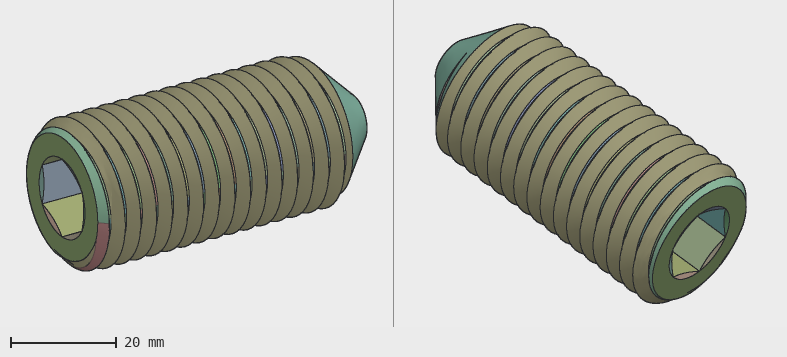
import cadquery as cq
import math

LENGTH = 65.0
MAJOR_RADIUS = 30.0 / 2

GAUGE_LENGTH = 45.5
GAUGE_TURNS = 13
PITCH = GAUGE_LENGTH / GAUGE_TURNS
FLANK_ANGLE = 30.0
ROOT_FLAT = PITCH / 8
RIDGE_HALF_WIDTH = (PITCH - ROOT_FLAT) / 2
CORE_RADIUS = MAJOR_RADIUS - RIDGE_HALF_WIDTH / math.tan(math.radians(FLANK_ANGLE))
FIRST_CREST = 1.2
RIDGE_OVERLAP = 0.2

END_FACE_RADIUS = 12.7
POINT_FACE_RADIUS = 5.0
CREST_CLEARANCE = 0.65

SOCKET_ACROSS_FLATS = 14.1
SOCKET_CORNER_DIAMETER = SOCKET_ACROSS_FLATS / math.cos(math.radians(30))
SOCKET_DEPTH = 14.95
COUNTERSINK_ANGLE = 140.0


def make_end_envelope():
    """Turned shape with both 45 degree ends, wide enough to clear the thread crests."""
    clear_radius = MAJOR_RADIUS + CREST_CLEARANCE
    return (
        cq.Workplane("XZ")
        .lineTo(END_FACE_RADIUS, 0)
        .lineTo(clear_radius, clear_radius - END_FACE_RADIUS)
        .lineTo(clear_radius, LENGTH - (clear_radius - POINT_FACE_RADIUS))
        .lineTo(POINT_FACE_RADIUS, LENGTH)
        .lineTo(0, LENGTH)
        .close()
        .revolve(360, (0, 0, 0), (0, 1, 0))
    )


def make_thread_ridge():
    """Helical ridge that runs past the chamfer and into the cone point."""
    start = FIRST_CREST - PITCH
    cone_start = LENGTH - (MAJOR_RADIUS - POINT_FACE_RADIUS)
    turns = math.ceil((cone_start - start) / PITCH) + 2
    helix = cq.Wire.makeHelix(PITCH, turns * PITCH, CORE_RADIUS, cq.Vector(0, 0, start))
    base_radius = CORE_RADIUS - RIDGE_OVERLAP
    base_half_width = (MAJOR_RADIUS - base_radius) * math.tan(math.radians(FLANK_ANGLE))
    profile = (
        cq.Workplane("XZ")
        .moveTo(base_radius, start - base_half_width)
        .lineTo(MAJOR_RADIUS, start)
        .lineTo(base_radius, start + base_half_width)
        .close()
    )
    return profile.sweep(cq.Workplane(helix), isFrenet=True)


def make_socket():
    """Hexagonal socket with corners on local Y and a countersunk mouth."""
    hexagon = (
        cq.Workplane("XY")
        .polygon(6, SOCKET_CORNER_DIAMETER)
        .extrude(SOCKET_DEPTH)
        .rotate((0, 0, 0), (0, 0, 1), 90)
    )
    mouth_radius = SOCKET_CORNER_DIAMETER / 2
    cone_depth = mouth_radius / math.tan(math.radians(COUNTERSINK_ANGLE / 2))
    countersink = cq.Workplane(cq.Solid.makeCone(mouth_radius, 0, cone_depth))
    return hexagon.union(countersink)


core = cq.Workplane("XY").circle(CORE_RADIUS).extrude(LENGTH)
envelope = make_end_envelope()
ridge = make_thread_ridge().intersect(envelope)
screw = core.intersect(envelope).union(ridge).cut(make_socket())

result = screw.rotate((0, 0, 0), (1, 0, 0), -90)